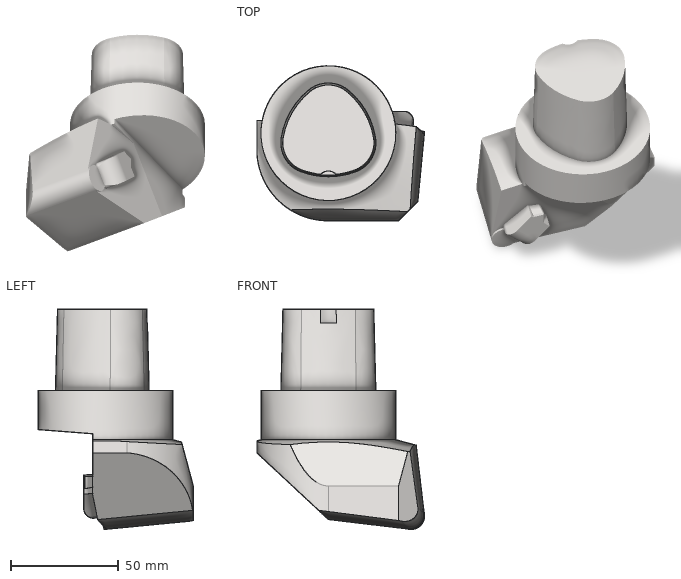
import cadquery as cq
import math


shank_length = 38.0
lobe_reach = 23.45
flat_reach = 20.4
lobe_radius = 14.5
shank_taper = math.degrees(math.atan(1 / 40))

notch_diameter = 10.0
notch_depth = 6.5
notch_inner_y = -17.7

flange_diameter = 63.0
flange_bottom_z = -23.0
flange_relief_angle = 4.4
flange_relief_z = -20.3

rake_side_y = 6.0
head_left_x = -33.4
head_front_y = -41.0
head_corner_radius = 33.5
head_chamfer_x = 32.8
head_cone_angle = 15.0
slope_angle = 15.0
slope_bottom_z = -44.6
back_cut_angle = 43.0
back_cut_z = -60.3
head_reach = 90.0

nose_x = 45.0
nose_z = -65.0
insert_diameter = 12.7
insert_thickness = 4.76
insert_top_y = 1.15
insert_stand_out = 1.0
tilt = math.tan(math.radians(5.5))
side_edge_angle = 7.2
bottom_edge_angle = 6.8

clamp_width = 12.7
clamp_length = 17.8
clamp_top_y = 10.2
clamp_corner_diameter = 5.0
clamp_tip_radius = 7.0
clamp_tip_overlap = 2.5
heel_left_x = 22.1
heel_right_x = 27.5
heel_bottom_z = -46.0
heel_top_z = -39.5
heel_chamfer = 0.7

insert_radius = insert_diameter / 2
insert_center = cq.Vector(nose_x - insert_radius, insert_top_y, nose_z + insert_radius)
seat_plane = cq.Plane(origin=insert_center.toTuple(), xDir=(1, -tilt, 0), normal=(-tilt, -1, tilt))


def polar(radius, degrees):
    angle = math.radians(degrees)
    return (radius * math.cos(angle), radius * math.sin(angle))


def polygon_shank():
    lobe_offset = lobe_reach - lobe_radius
    radius_gap = flat_reach - lobe_radius
    flat_offset = (lobe_offset**2 - radius_gap**2) / (2 * radius_gap - lobe_offset)
    flat_radius = flat_reach + flat_offset

    lobe_x, lobe_y = polar(lobe_offset, 60)
    spread = math.atan2(lobe_y, lobe_x + flat_offset)
    joint_x = flat_radius * math.cos(spread) - flat_offset
    joint_y = flat_radius * math.sin(spread)
    joint_reach = math.hypot(joint_x, joint_y)
    joint_angle = math.degrees(math.atan2(joint_y, joint_x))

    flats = (-90, 30, 150)
    outline = cq.Workplane("XY").moveTo(*polar(joint_reach, flats[0] - joint_angle))
    for flat in flats:
        outline = outline.threePointArc(polar(flat_reach, flat), polar(joint_reach, flat + joint_angle))
        outline = outline.threePointArc(
            polar(lobe_reach, flat + 60), polar(joint_reach, flat + 120 - joint_angle)
        )
    shank = outline.close().extrude(shank_length, taper=shank_taper)

    notch_radius = notch_diameter / 2
    notch = (
        cq.Workplane("XY", origin=(0, notch_inner_y - notch_radius, shank_length))
        .circle(notch_radius)
        .extrude(-notch_depth)
    )
    return shank.cut(notch)


def head_plan():
    corner_y = head_front_y + head_corner_radius
    arc_start_y = corner_y - math.sqrt(head_corner_radius**2 - head_left_x**2)
    start_angle = math.degrees(math.atan2(arc_start_y - corner_y, head_left_x)) % 360
    middle_x, middle_y = polar(head_corner_radius, (start_angle + 270) / 2)
    right_x = head_chamfer_x + rake_side_y - head_front_y
    return (
        cq.Workplane("XY")
        .moveTo(head_left_x, rake_side_y)
        .lineTo(head_left_x, arc_start_y)
        .threePointArc((middle_x, corner_y + middle_y), (0, head_front_y))
        .lineTo(head_chamfer_x, head_front_y)
        .lineTo(right_x, rake_side_y)
        .close()
        .extrude(-head_reach)
    )


def nose_profile():
    right = polar(insert_radius, side_edge_angle)
    bottom = polar(insert_radius, -90 - bottom_edge_angle)
    middle = polar(insert_radius, -45)
    side_shift = math.tan(math.radians(side_edge_angle)) * head_reach
    bottom_rise = math.tan(math.radians(bottom_edge_angle)) * head_reach
    return (
        cq.Workplane(seat_plane)
        .workplane(offset=insert_stand_out)
        .moveTo(*bottom)
        .threePointArc(middle, right)
        .lineTo(right[0] - side_shift, right[1] + head_reach)
        .lineTo(bottom[0] - head_reach, right[1] + head_reach)
        .lineTo(bottom[0] - head_reach, bottom[1] + bottom_rise)
        .close()
        .extrude(head_reach)
    )


def head_top_cone():
    fall = math.tan(math.radians(head_cone_angle)) * (head_reach - flange_diameter / 2)
    return (
        cq.Workplane("XZ")
        .moveTo(0, flange_bottom_z)
        .lineTo(flange_diameter / 2, flange_bottom_z)
        .lineTo(head_reach, flange_bottom_z - fall)
        .lineTo(head_reach, -head_reach)
        .lineTo(0, -head_reach)
        .close()
        .revolve(360, (0, 0), (0, 1))
    )


def sloped_front():
    height = -slope_bottom_z
    depth = height * math.tan(math.radians(slope_angle))
    return (
        cq.Workplane("YZ")
        .moveTo(head_front_y, slope_bottom_z)
        .lineTo(head_front_y + depth, 0)
        .lineTo(head_front_y, 0)
        .close()
        .extrude(head_reach, both=True)
    )


def back_cut():
    slope = math.tan(math.radians(back_cut_angle))
    return (
        cq.Workplane("XZ")
        .moveTo(-head_reach, back_cut_z + slope * head_reach)
        .lineTo(head_reach, back_cut_z - slope * head_reach)
        .lineTo(-head_reach, back_cut_z - slope * head_reach)
        .close()
        .extrude(head_reach, both=True)
    )


def chip_space():
    rise = math.tan(math.radians(flange_relief_angle)) * head_reach
    return (
        cq.Workplane("YZ")
        .moveTo(rake_side_y, flange_relief_z)
        .lineTo(rake_side_y + head_reach, flange_relief_z + rise)
        .lineTo(rake_side_y + head_reach, -head_reach)
        .lineTo(rake_side_y, -head_reach)
        .close()
        .extrude(head_reach, both=True)
    )


def make_holder(insert):
    flange = cq.Workplane("XY").circle(flange_diameter / 2).extrude(flange_bottom_z)
    head = head_plan().intersect(nose_profile()).intersect(head_top_cone())
    head = head.cut(sloped_front()).cut(back_cut())
    holder = flange.union(head).cut(chip_space()).union(polygon_shank())
    return holder.cut(insert)


def make_insert():
    return cq.Workplane(seat_plane).circle(insert_radius).extrude(insert_thickness)


def clamp_finger():
    tip = clamp_tip_overlap - insert_radius
    bar = (
        cq.Workplane(seat_plane)
        .transformed(rotate=(0, 0, -45))
        .center(tip - clamp_length / 2, 0)
        .rect(clamp_length, clamp_width)
        .extrude(clamp_length, both=True)
        .edges(cq.selectors.ParallelDirSelector(seat_plane.zDir))
        .edges(">X or <Z")
        .fillet(clamp_corner_diameter / 2)
    )

    diagonal = cq.Plane(
        origin=(insert_center.x, 0, insert_center.z), xDir=(1, 0, -1), normal=(1, 0, 1)
    )
    back = tip - 2 * clamp_length
    profile = (
        cq.Workplane(diagonal)
        .moveTo(tip, 0)
        .lineTo(tip, clamp_top_y - clamp_tip_radius)
        .radiusArc((tip - clamp_tip_radius, clamp_top_y), -clamp_tip_radius)
        .lineTo(back, clamp_top_y)
        .lineTo(back, 0)
        .close()
        .extrude(clamp_width, both=True)
    )
    return bar.intersect(profile)


def clamp_heel():
    size_x = heel_right_x - heel_left_x
    size_z = heel_top_z - heel_bottom_z
    return (
        cq.Workplane("XY")
        .box(size_x, clamp_top_y, size_z, centered=False)
        .translate((heel_left_x, 0, heel_bottom_z))
        .edges("(<X and >Y) or (<X and >Z) or (>Y and >Z)")
        .chamfer(heel_chamfer)
    )


def make_clamp(holder, insert):
    return clamp_finger().union(clamp_heel()).cut(holder).cut(insert)


insert = make_insert()
holder = make_holder(insert)
clamp = make_clamp(holder, insert)

result = cq.Compound.makeCompound([*holder.solids().vals(), *insert.solids().vals(), *clamp.solids().vals()])